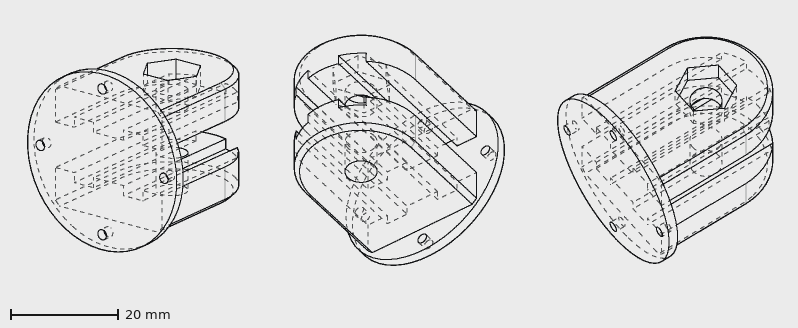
import cadquery as cq
import math

plate_diameter = 35.0
plate_thickness = 2.0
screw_hole_diameter = 2.0
screw_circle_radius = 14.5
screw_count = 4

lug_radius = 12.5
total_length = 34.0
pivot_y = total_length - lug_radius
lug_outer_z = 11.97
lug_inner_z = 4.5
lug_chamfer = 1.0

bore_diameter = 6.0
nut_across_flats = 10.0
nut_corner_diameter = nut_across_flats / math.cos(math.pi / 6)
nut_depth = 4.0

groove_inner_x = 3.5
groove_outer_x = 8.0
groove_depth = 2.0


def make_plate():
    """Disc with its screw holes evenly spaced on a circle."""
    facing_y = cq.Workplane("XZ", origin=(0, plate_thickness, 0))
    disc = facing_y.circle(plate_diameter / 2).extrude(plate_thickness)
    holes = (
        facing_y.polarArray(screw_circle_radius, 0, 360, screw_count)
        .circle(screw_hole_diameter / 2)
        .extrude(plate_thickness)
    )
    return disc.cut(holes)


def make_upper_lug():
    """Lug with a chamfered outer rim and two grooves in its inner face."""
    lug = (
        cq.Workplane("XY", origin=(0, 0, lug_inner_z))
        .moveTo(-lug_radius, plate_thickness)
        .lineTo(lug_radius, plate_thickness)
        .lineTo(lug_radius, pivot_y)
        .threePointArc((0, total_length), (-lug_radius, pivot_y))
        .close()
        .extrude(lug_outer_z - lug_inner_z)
    )
    lug = lug.faces(">Z").edges("not <Y").chamfer(lug_chamfer)
    groove = cq.Workplane("XY").box(
        groove_outer_x - groove_inner_x,
        total_length - plate_thickness,
        groove_depth,
        centered=False,
    ).translate((groove_inner_x, plate_thickness, lug_inner_z))
    return lug.cut(groove).cut(groove.mirror("YZ"))


upper_lug = make_upper_lug()
lower_lug = upper_lug.mirror("XY")

bore = (
    cq.Workplane("XY", origin=(0, pivot_y, -lug_outer_z))
    .circle(bore_diameter / 2)
    .extrude(2 * lug_outer_z)
)
nut_pocket = (
    cq.Workplane("XY", origin=(0, pivot_y, lug_outer_z - nut_depth))
    .polygon(6, nut_corner_diameter)
    .extrude(nut_depth)
)

result = make_plate().union(upper_lug).union(lower_lug).cut(bore).cut(nut_pocket)